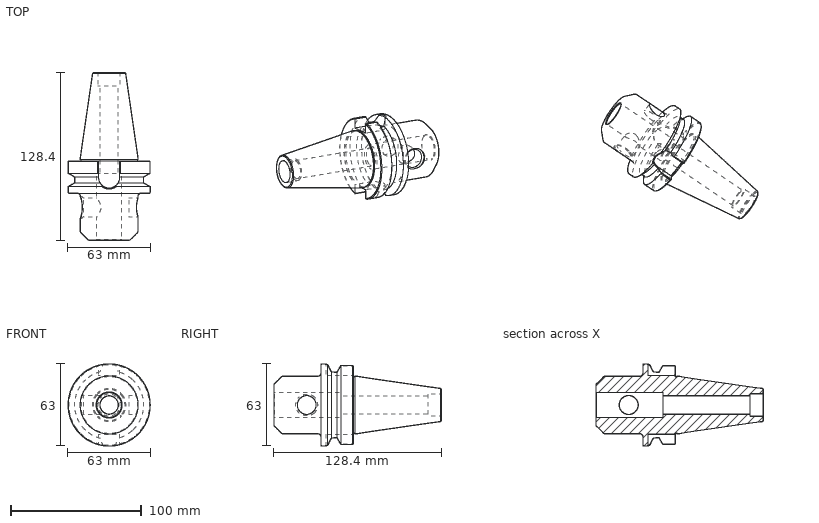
import cadquery as cq
import math

length = 128.4
nose_y = -length / 2
gauge_y = nose_y + 63.0
rear_y = length / 2

gauge_radius = 22.2
taper_rate = 7 / 24
rear_chamfer = 0.6
relief_radius = 21.76
gauge_band_width = 1.0

flange_radius = 31.52
flange_front_y = nose_y + 36.0
flange_rear_y = nose_y + 60.9
flange_round = 1.0
flange_rear_chamfer = 0.6
groove_center_y = nose_y + 46.2
groove_floor_width = 4.4
groove_floor_radius = 26.5
groove_angle = math.radians(60)

nose_radius = 22.2
nose_chamfer = 6.3
nose_round = 2.0

bore_diameter = 19.0
bore_chamfer = 0.5
bore_depth = 51.4
drawbar_diameter = 13.9
drawbar_mouth_diameter = 17.0
drawbar_mouth_depth = 10.3

screw_y = nose_y + 25.2
screw_diameter = 14.4
screw_mouth_diameter = 17.0
screw_mouth_floor_x = 19.8
balance_floor_x = 15.4

slot_width = 16.0
slot_floor_z = 22.6
slot_arc_center_y = nose_y + 48.0
slot_edge_chamfer = 0.8


def revolve_profile(profile):
    """Turn a closed (radius, y) profile about the Y axis."""
    return profile.close().revolve(360, (0, 0, 0), (0, 1, 0))


def make_shank():
    rear_radius = gauge_radius - (rear_y - gauge_y) * taper_rate / 2
    return revolve_profile(
        cq.Workplane("XY")
        .moveTo(0, flange_rear_y)
        .lineTo(relief_radius, flange_rear_y)
        .lineTo(relief_radius, gauge_y - gauge_band_width)
        .lineTo(gauge_radius, gauge_y - gauge_band_width)
        .lineTo(gauge_radius, gauge_y)
        .lineTo(rear_radius + rear_chamfer * taper_rate / 2, rear_y - rear_chamfer)
        .lineTo(rear_radius - rear_chamfer, rear_y)
        .lineTo(0, rear_y)
    )


def make_flange_and_nose():
    half_floor = groove_floor_width / 2
    half_mouth = half_floor + (flange_radius - groove_floor_radius) / math.tan(groove_angle)
    bend = nose_round * math.tan(math.radians(22.5))
    diagonal = bend * math.sin(math.radians(45))
    sag = nose_round * (1 - math.cos(math.radians(22.5)))
    half_turn = nose_round * math.sin(math.radians(22.5))
    tip_radius = nose_radius - nose_chamfer
    shoulder_y = nose_y + nose_chamfer
    inset = 1 - math.sin(math.radians(45))
    return revolve_profile(
        cq.Workplane("XY")
        .moveTo(0, nose_y)
        .lineTo(tip_radius - bend, nose_y)
        .threePointArc(
            (tip_radius - bend + half_turn, nose_y + sag),
            (tip_radius + diagonal, nose_y + diagonal),
        )
        .lineTo(nose_radius - diagonal, shoulder_y - diagonal)
        .threePointArc(
            (nose_radius - sag, shoulder_y + bend - half_turn),
            (nose_radius, shoulder_y + bend),
        )
        .lineTo(nose_radius, flange_front_y - nose_round)
        .threePointArc(
            (nose_radius + nose_round * inset, flange_front_y - nose_round * inset),
            (nose_radius + nose_round, flange_front_y),
        )
        .lineTo(flange_radius - flange_round, flange_front_y)
        .threePointArc(
            (flange_radius - flange_round * inset, flange_front_y + flange_round * inset),
            (flange_radius, flange_front_y + flange_round),
        )
        .lineTo(flange_radius, groove_center_y - half_mouth)
        .lineTo(groove_floor_radius, groove_center_y - half_floor)
        .lineTo(groove_floor_radius, groove_center_y + half_floor)
        .lineTo(flange_radius, groove_center_y + half_mouth)
        .lineTo(flange_radius, flange_rear_y - flange_rear_chamfer)
        .lineTo(flange_radius - flange_rear_chamfer, flange_rear_y)
        .lineTo(0, flange_rear_y)
    )


def make_bore():
    """Stepped axial hole: tool bore, draw-bar hole and its rear mouth."""
    bore_radius = bore_diameter / 2
    mouth_y = rear_y - drawbar_mouth_depth
    return revolve_profile(
        cq.Workplane("XY")
        .moveTo(0, nose_y)
        .lineTo(bore_radius + bore_chamfer, nose_y)
        .lineTo(bore_radius, nose_y + bore_chamfer)
        .lineTo(bore_radius, nose_y + bore_depth)
        .lineTo(drawbar_diameter / 2, nose_y + bore_depth)
        .lineTo(drawbar_diameter / 2, mouth_y)
        .lineTo(drawbar_mouth_diameter / 2, mouth_y)
        .lineTo(drawbar_mouth_diameter / 2, rear_y)
        .lineTo(0, rear_y)
    )


def make_radial_hole(diameter, inner_x, outer_x):
    """Cylinder along X at the screw position, between two X places."""
    return (
        cq.Workplane("YZ", origin=(inner_x, 0, 0))
        .center(screw_y, 0)
        .circle(diameter / 2)
        .extrude(outer_x - inner_x)
    )


def make_screw_hole():
    """Screw hole on -X with a conical lead-in at its mouth."""
    hole = make_radial_hole(screw_diameter, 0, -flange_radius)
    mouth = make_radial_hole(screw_mouth_diameter, -screw_mouth_floor_x, -flange_radius)
    lead_in = (screw_mouth_diameter - screw_diameter) / 2
    return hole.union(mouth.faces(">X").chamfer(lead_in))


def make_drive_slot():
    """Round-ended slot on +Z, open to the rear."""
    half_width = slot_width / 2
    return (
        cq.Workplane("XY", origin=(0, 0, slot_floor_z))
        .moveTo(-half_width, flange_rear_y)
        .lineTo(-half_width, slot_arc_center_y)
        .threePointArc(
            (0, slot_arc_center_y - half_width),
            (half_width, slot_arc_center_y),
        )
        .lineTo(half_width, flange_rear_y)
        .close()
        .extrude(flange_radius)
    )


def chamfer_slot_rims(body):
    """Break the slot edges that lie on the flange's outer cylinder."""
    rim_z = math.sqrt(flange_radius**2 - (slot_width / 2) ** 2)
    margin = 2 * slot_edge_chamfer
    for side in (-1, 1):
        rim_box = cq.selectors.BoxSelector(
            (-slot_width, flange_front_y, side * (rim_z - margin)),
            (slot_width, flange_rear_y - flange_rear_chamfer, side * (rim_z + margin)),
        )
        body = body.edges(rim_box).chamfer(slot_edge_chamfer)
    return body


drive_slot = make_drive_slot()
body = (
    make_flange_and_nose()
    .union(make_shank())
    .cut(make_bore())
    .cut(make_screw_hole())
    .cut(make_radial_hole(screw_diameter, balance_floor_x, flange_radius))
    .cut(drive_slot)
    .cut(drive_slot.mirror("XY"))
)
result = chamfer_slot_rims(body)